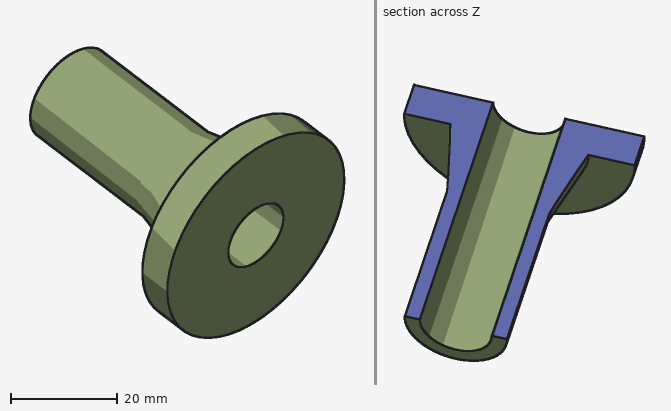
import cadquery as cq

bore_diameter = 14.0
tube_diameter = 20.0
neck_end_diameter = 27.0
flange_diameter = 45.0
tube_length = 30.0
neck_length = 15.0
flange_thickness = 7.0

neck_start = tube_length
flange_start = neck_start + neck_length
total_length = flange_start + flange_thickness


def flanged_tube():
    """Revolve the half section of the tube, conical neck and flange about X."""
    half_section = (
        cq.Workplane("XZ")
        .moveTo(0, bore_diameter / 2)
        .lineTo(0, tube_diameter / 2)
        .lineTo(neck_start, tube_diameter / 2)
        .lineTo(flange_start, neck_end_diameter / 2)
        .lineTo(flange_start, flange_diameter / 2)
        .lineTo(total_length, flange_diameter / 2)
        .lineTo(total_length, bore_diameter / 2)
        .close()
    )
    return half_section.revolve(360, (0, 0, 0), (1, 0, 0))


result = flanged_tube()